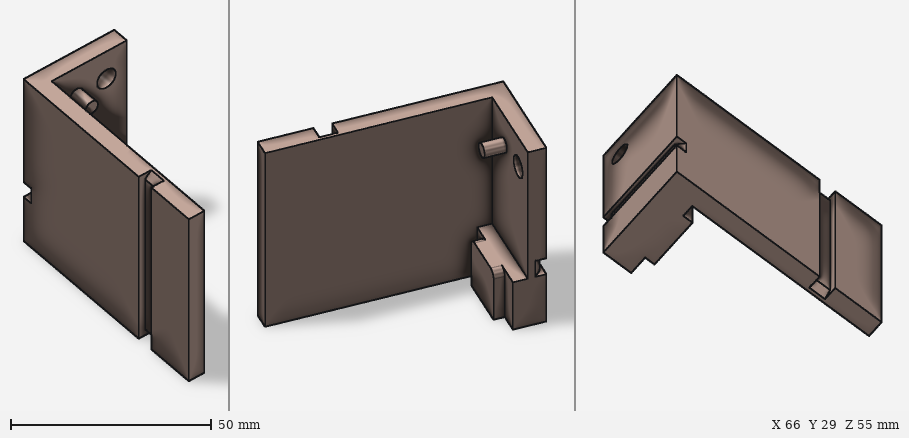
import cadquery as cq

LENGTH = 66.0
DEPTH = 29.0
HEIGHT = 55.0
THICKNESS = 5.0

GROOVE_WIDTH = 5.0
FLARE = 2.0
FRONT_GROOVE_DEPTH = 2.0
FRONT_GROOVE_X = 46.0
SIDE_GROOVE_DEPTH = 1.0
SIDE_GROOVE_Z = 15.0

HOLE_DIAMETER = 6.0
HOLE_Y = 22.5
HOLE_Z = 45.75

PIN_DIAMETER = 4.0
PIN_LENGTH = 6.0
PIN_Y = 13.0
PIN_Z = HOLE_Z

LEDGE_THICKNESS = 4.0
LEDGE_HEIGHT = 15.0
PAD_WIDTH = 15.0
PAD_PROJECTION = 3.0
PAD_CORNER_RADIUS = 2.0
PAD_Y = 16.0


def box(x_size, y_size, z_size):
    """Box with one corner at the origin."""
    return cq.Workplane("XY").box(x_size, y_size, z_size, centered=False)


def rod(diameter, x_start, length, y, z):
    """Cylinder running along +X."""
    return (
        cq.Workplane("YZ", origin=(x_start, y, z))
        .circle(diameter / 2)
        .extrude(length)
    )


def groove_cutter(plane, origin, run, depth):
    """Solid removed for a groove: depth along the first plane axis, length along the second."""
    end_depth = depth + FLARE
    points = [(0, 0), (end_depth, 0), (depth, FLARE), (depth, run - FLARE), (end_depth, run), (0, run)]
    return cq.Workplane(plane, origin=origin).polyline(points).close().extrude(GROOVE_WIDTH)


def angle_bracket():
    return box(LENGTH, THICKNESS, HEIGHT).union(box(THICKNESS, DEPTH, HEIGHT))


def ledge_with_pad():
    ledge = box(LEDGE_THICKNESS, DEPTH - THICKNESS, LEDGE_HEIGHT)
    ledge = ledge.translate((THICKNESS, THICKNESS, 0))
    pad = box(PAD_PROJECTION, PAD_WIDTH, LEDGE_HEIGHT)
    pad = pad.edges("|X and >Z").fillet(PAD_CORNER_RADIUS)
    pad = pad.translate((THICKNESS + LEDGE_THICKNESS, PAD_Y - PAD_WIDTH / 2, 0))
    return ledge.union(pad)


front_groove = groove_cutter("YZ", (FRONT_GROOVE_X, 0, 0), HEIGHT, FRONT_GROOVE_DEPTH)
side_groove = groove_cutter("XY", (0, 0, SIDE_GROOVE_Z), DEPTH, SIDE_GROOVE_DEPTH)
hole = rod(HOLE_DIAMETER, 0, THICKNESS, HOLE_Y, HOLE_Z)
pin = rod(PIN_DIAMETER, THICKNESS, PIN_LENGTH, PIN_Y, PIN_Z)

result = (
    angle_bracket()
    .union(ledge_with_pad())
    .union(pin)
    .cut(front_groove)
    .cut(side_groove)
    .cut(hole)
)